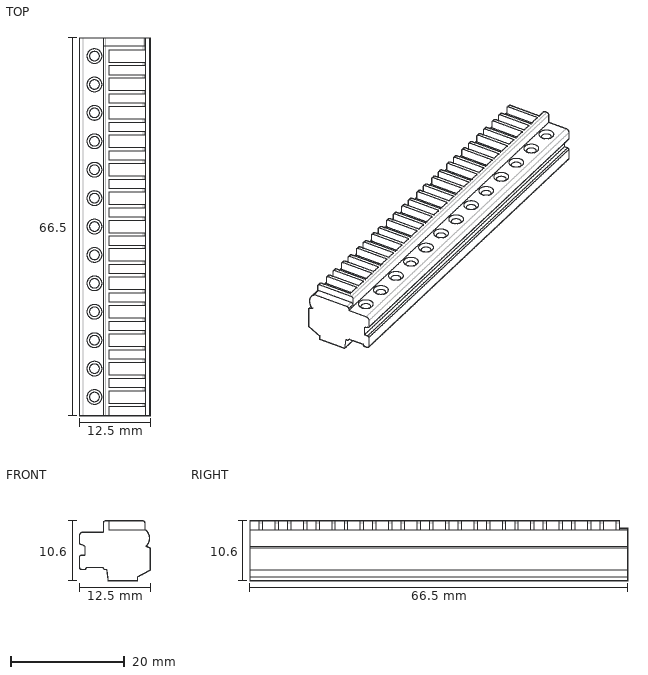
import cadquery as cq

width = 12.5
length = 66.5
height = 10.6

ledge_z = 8.6
ledge_round = 0.6
groove_depth = 0.95
lip_z = 6.6
lip_round_drop = 0.2
lip_round_run = 0.4
lip_round = 0.4
groove_top_z = 6.1
groove_floor_z = 4.55
groove_bevel_run = 0.3
groove_edge_z = 4.35

toe_z = 2.0
toe_round = 0.4
toe_width = 1.05
recess_z = 2.35
recess_start_x = 1.25
recess_end_x = 4.1
foot_shoulder_x = 4.4
foot_top_left_x = 4.8
foot_left_x = 5.05
foot_right_x = 10.25
foot_right_z = 0.7
flank_low_z = 1.9

flank_high_z = 5.8
notch_x = 11.75
notch_z = 6.1
shoulder_bulge_x = 12.35
shoulder_bulge_z = 7.6
shoulder_x = 11.65

pocket_floor_z = 9.0
wall_left_x = 4.2
wall_thickness = 1.0
rib_end_x = 11.55
top_round = 0.4
end_step_length = 1.45
end_step_z = 9.3
end_step_right_round = 0.2

pitch = 5.0
position_count = 13
first_position_y = 3.3
rib_thickness = 0.6
wide_pocket_length = 2.2
narrow_pocket_length = pitch - wide_pocket_length - 2 * rib_thickness

hole_x = 2.65
hole_top_radius = 1.3
hole_floor_radius = 0.85
hole_depth = 0.5

wall_right_x = wall_left_x + wall_thickness
position_ys = [first_position_y + i * pitch for i in range(position_count)]


def extrude_profile(profile, start_y, end_y):
    """Extrude an XZ-plane profile from start_y to end_y."""
    return profile.extrude(-(end_y - start_y)).translate((0, start_y, 0))


def make_body():
    """Full-length bar up to the pocket floors, without the comb on top."""
    profile = (
        cq.Workplane("XZ")
        .moveTo(ledge_round, ledge_z)
        .radiusArc((0, ledge_z - ledge_round), -ledge_round)
        .lineTo(0, lip_z)
        .radiusArc((lip_round_run, lip_z - lip_round_drop), -lip_round)
        .lineTo(groove_depth, groove_top_z)
        .lineTo(groove_depth, groove_floor_z)
        .lineTo(groove_bevel_run, groove_floor_z)
        .lineTo(0, groove_edge_z)
        .lineTo(0, toe_z + toe_round)
        .radiusArc((toe_round, toe_z), -toe_round)
        .lineTo(toe_width, toe_z)
        .lineTo(recess_start_x, recess_z)
        .lineTo(recess_end_x, recess_z)
        .lineTo(foot_shoulder_x, toe_z)
        .lineTo(foot_top_left_x, toe_z)
        .lineTo(foot_left_x, 0)
        .lineTo(foot_right_x, 0)
        .lineTo(foot_right_x, foot_right_z)
        .lineTo(width, flank_low_z)
        .lineTo(width, flank_high_z)
        .lineTo(notch_x, notch_z)
        .threePointArc(
            (shoulder_bulge_x, shoulder_bulge_z),
            (shoulder_x, pocket_floor_z),
        )
        .lineTo(wall_left_x, pocket_floor_z)
        .lineTo(wall_left_x, ledge_z)
        .close()
    )
    return extrude_profile(profile, 0, length)


def make_comb_block(top_z, right_round, start_y, end_y):
    """Block on top of the body, rounded along its two upper long edges."""
    profile = (
        cq.Workplane("XZ")
        .moveTo(wall_left_x, ledge_z)
        .lineTo(wall_left_x, top_z - top_round)
        .radiusArc((wall_left_x + top_round, top_z), top_round)
        .lineTo(rib_end_x - right_round, top_z)
        .radiusArc((rib_end_x, top_z - right_round), right_round)
        .lineTo(rib_end_x, ledge_z)
        .close()
    )
    return extrude_profile(profile, start_y, end_y)


def make_pocket(start_y, end_y):
    """Cutter for one gap between ribs, open on the right side."""
    return cq.Workplane("XY").box(
        width - wall_right_x,
        end_y - start_y,
        height - pocket_floor_z,
        centered=False,
    ).translate((wall_right_x, start_y, pocket_floor_z))


def cut_pockets(part):
    """Cut a wide and a narrow pocket at every position, leaving thin ribs."""
    for y in position_ys:
        wide_start = y - wide_pocket_length / 2
        narrow_end = wide_start - rib_thickness
        narrow_start = narrow_end - narrow_pocket_length
        if y == first_position_y:
            narrow_start = 0
        part = part.cut(make_pocket(wide_start, wide_start + wide_pocket_length))
        part = part.cut(make_pocket(narrow_start, narrow_end))
    return part


def make_hole(y):
    """Cutter for one tapered screw hole in the ledge."""
    cone = cq.Solid.makeCone(
        hole_floor_radius,
        hole_top_radius,
        hole_depth,
        cq.Vector(hole_x, y, ledge_z - hole_depth),
    )
    return cq.Workplane(cone)


step_y = length - end_step_length
result = make_body()
result = result.union(make_comb_block(height, top_round, 0, step_y))
result = cut_pockets(result)
result = result.union(make_comb_block(end_step_z, end_step_right_round, step_y, length))
for hole_y in position_ys:
    result = result.cut(make_hole(hole_y))